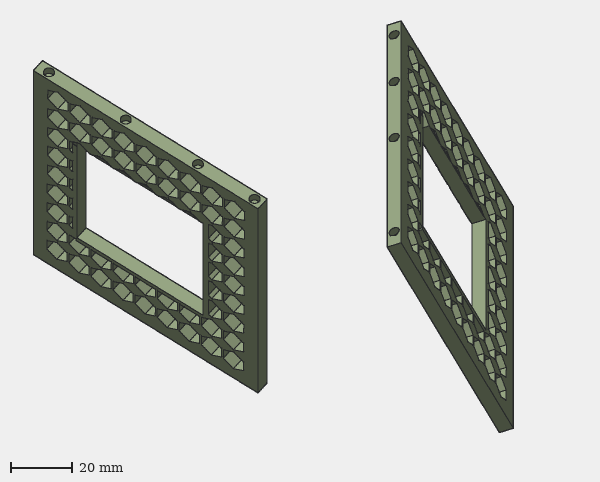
import cadquery as cq
import math

plate_width = 91.6
plate_height = 104.0
plate_depth = 5.0
front_y = -plate_depth / 2
back_y = plate_depth / 2
through_depth = 2 * plate_depth

grid_count = 9
grid_width = 72.0
grid_height = 85.2
column_pitch = grid_width / (grid_count - 1)
row_pitch = grid_height / (grid_count - 1)
hexagon_flats = 8.2
hexagon_diameter = hexagon_flats / math.cos(math.radians(30))
grid_tilt = 0.25
grid_center_z = 0.7

window_left = -28.0
window_right = 23.3
window_bottom = -27.2
window_top = 24.5

bar_width = 1.9
left_bar_left = window_left - bar_width
right_bar_width = 2.3
side_bar_top = 27.0
bottom_bar_left = -28.3
bottom_bar_right = 22.7
top_bar_left = -22.6
top_bar_right = 22.5
top_bar_height = 1.1
setback = 0.12
left_bar_top = 24.2
corner_left = -32.2
corner_bottom = -28.3
corner_top = -26.0

edge_hole_diameter = 3.5
edge_hole_depth = 3.1
top_hole_places = (-41.3, -10.0, 19.5, 42.5)
left_hole_places = (46.5, 24.5, -1.7, -45.8)


def block(left, right, bottom, top, front=front_y, back=back_y):
    """Box given by its limits along X, Z and Y."""
    return cq.Workplane("XY").box(
        right - left, back - front, top - bottom, centered=False
    ).translate((left, front, bottom))


def hexagon_grid():
    """Hexagonal prisms through the plate, corners pointing up and down."""
    return (
        cq.Workplane("XZ", origin=(0, through_depth / 2, 0))
        .transformed(rotate=(0, 0, 90))
        .rarray(row_pitch, column_pitch, grid_count, grid_count)
        .polygon(6, hexagon_diameter)
        .extrude(through_depth)
        .rotate((0, 0, 0), (0, 1, 0), grid_tilt)
        .translate((0, 0, grid_center_z))
    )


def edge_hole(start, direction):
    """Blind round hole from a point on an edge face."""
    return cq.Workplane(
        cq.Solid.makeCylinder(
            edge_hole_diameter / 2, edge_hole_depth, cq.Vector(*start), cq.Vector(*direction)
        )
    )


result = block(-plate_width / 2, plate_width / 2, -plate_height / 2, plate_height / 2)
hexagons = hexagon_grid()
result = result.cut(hexagons)

result = result.union(block(left_bar_left, window_left, window_bottom, left_bar_top))
result = result.union(
    block(left_bar_left, window_left, left_bar_top, side_bar_top, front_y + setback, back_y)
)
result = result.union(block(corner_left, bottom_bar_left, corner_bottom, corner_top))

result = result.union(
    block(window_right, window_right + right_bar_width, window_bottom, side_bar_top)
)
result = result.union(
    block(bottom_bar_left, bottom_bar_right, window_bottom - bar_width, window_bottom)
)

top_bar = block(
    top_bar_left, top_bar_right, window_top, window_top + top_bar_height,
    front_y + setback, back_y + setback,
)
result = result.union(top_bar.intersect(hexagons))

result = result.cut(
    block(window_left, window_right, window_bottom, window_top, -through_depth / 2, through_depth / 2)
)

for x in top_hole_places:
    result = result.cut(edge_hole((x, 0, plate_height / 2), (0, 0, -1)))
for z in left_hole_places:
    result = result.cut(edge_hole((-plate_width / 2, 0, z), (1, 0, 0)))